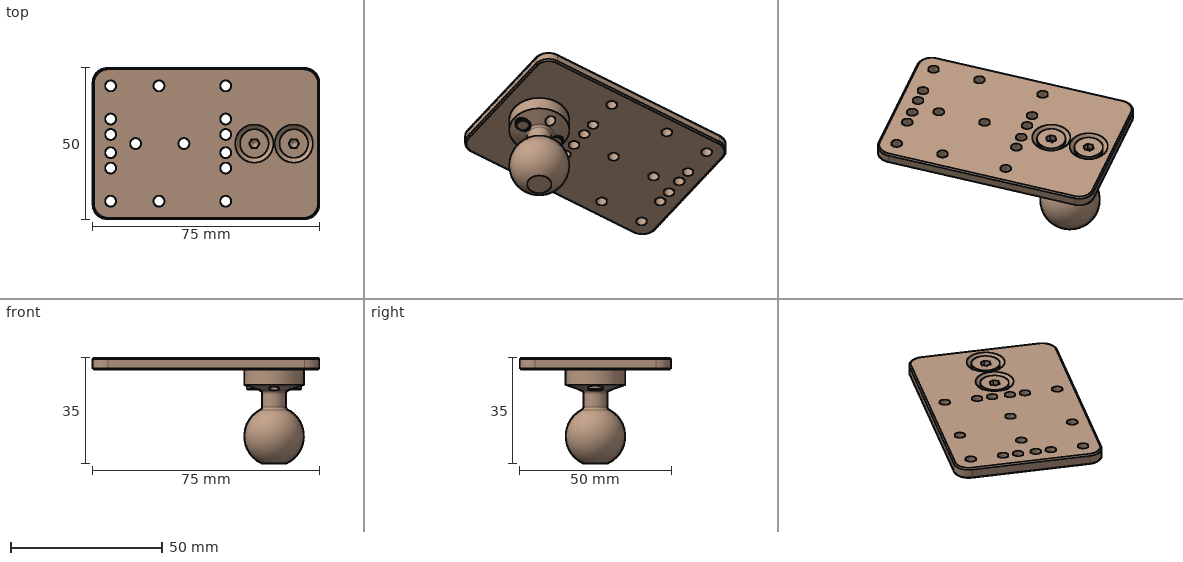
import cadquery as cq
import math

PLATE_LENGTH = 75.0
PLATE_WIDTH = 50.0
PLATE_THICKNESS = 4.0
CORNER_RADIUS = 5.0
EDGE_CHAMFER = 0.5

HOLE_DIAMETER = 3.5
LEFT_COLUMN_X = -31.5
MIDDLE_COLUMN_X = -15.5
RIGHT_COLUMN_X = 6.5
OUTER_ROW_Y = 19.05
WIDE_ROW_Y = 8.1
NARROW_ROW_Y = 3.0
CENTER_HOLES_X = (-23.25, -7.3)

MOUNT_X = 22.5
TOTAL_HEIGHT = 35.0
BASE_RADIUS = 19.8 / 2
BASE_HEIGHT = 5.0
CONE_HEIGHT = 1.95
CONE_END_RADIUS = 9.45 / 2
NECK_RADIUS = 8.0 / 2
BALL_RADIUS = 19.8 / 2
BALL_FLAT_RADIUS = NECK_RADIUS
BALL_FILLET = 1.0
BASE_HOLE_DIAMETER = 3.3

SCREW_OFFSET = 6.5
SCREW_XS = (MOUNT_X - SCREW_OFFSET, MOUNT_X + SCREW_OFFSET)
SINK_RADIUS = 12.6 / 2
HEAD_TOP_Z = -0.45
HEAD_RADIUS = 9.45 / 2
SHANK_RADIUS = 5.0 / 2
TIP_RADIUS = 4.2 / 2
SCREW_TIP_Z = -10.65
SOCKET_ACROSS_FLATS = 3.0
SOCKET_DEPTH = 2.25
SOCKET_CONE_HEIGHT = 0.9

HEAD_SEAT_Z = HEAD_RADIUS - SINK_RADIUS
HEAD_BOTTOM_Z = SHANK_RADIUS - SINK_RADIUS

BASE_TOP_Z = -PLATE_THICKNESS
BASE_BOTTOM_Z = BASE_TOP_Z - BASE_HEIGHT
CONE_END_Z = BASE_BOTTOM_Z - CONE_HEIGHT


def vertical_cylinder(x, y, radius, top_z, height):
    """Cylinder hanging down from top_z."""
    return cq.Workplane("XY", origin=(x, y, top_z)).circle(radius).extrude(-height)


def make_countersink(x):
    """Conical recess and straight bore for one screw."""
    bore = vertical_cylinder(x, 0, SHANK_RADIUS, 0, PLATE_THICKNESS)
    cone = (
        cq.Workplane("XZ", origin=(x, 0, 0))
        .polyline([(0, 0), (SINK_RADIUS, 0), (SHANK_RADIUS, HEAD_BOTTOM_Z), (0, HEAD_BOTTOM_Z)])
        .close()
        .revolve(360, (0, 0), (0, 1))
    )
    return bore.union(cone)


def make_plate():
    """Rounded plate with accessory holes and two countersinks."""
    outer_holes = [
        (x, side * OUTER_ROW_Y)
        for x in (LEFT_COLUMN_X, MIDDLE_COLUMN_X, RIGHT_COLUMN_X)
        for side in (-1, 1)
    ]
    inner_holes = [
        (x, side * y)
        for x in (LEFT_COLUMN_X, RIGHT_COLUMN_X)
        for y in (NARROW_ROW_Y, WIDE_ROW_Y)
        for side in (-1, 1)
    ]
    center_holes = [(x, 0) for x in CENTER_HOLES_X]
    body = (
        cq.Workplane("XY")
        .rect(PLATE_LENGTH, PLATE_WIDTH)
        .extrude(-PLATE_THICKNESS)
        .edges("|Z")
        .fillet(CORNER_RADIUS)
        .faces("<Z or >Z")
        .edges()
        .chamfer(EDGE_CHAMFER)
    )
    holes = (
        cq.Workplane("XY")
        .pushPoints(outer_holes + inner_holes + center_holes)
        .circle(HOLE_DIAMETER / 2)
        .extrude(-PLATE_THICKNESS)
    )
    body = body.cut(holes)
    for x in SCREW_XS:
        body = body.cut(make_countersink(x))
    return body


def make_ball_mount():
    """Round base, neck and flat-ended ball, with screw holes and two plain holes."""
    ball_z = -TOTAL_HEIGHT + math.sqrt(BALL_RADIUS**2 - BALL_FLAT_RADIUS**2)

    fillet_r = NECK_RADIUS + BALL_FILLET
    fillet_z = ball_z + math.sqrt((BALL_RADIUS + BALL_FILLET) ** 2 - fillet_r**2)
    tangent_share = BALL_RADIUS / (BALL_RADIUS + BALL_FILLET)
    tangent_r = fillet_r * tangent_share
    tangent_z = ball_z + (fillet_z - ball_z) * tangent_share
    mid_angle = (math.pi + math.atan2(ball_z - fillet_z, -fillet_r) % (2 * math.pi)) / 2
    fillet_mid = (
        fillet_r + BALL_FILLET * math.cos(mid_angle),
        fillet_z + BALL_FILLET * math.sin(mid_angle),
    )

    root_fillet = CONE_END_RADIUS - NECK_RADIUS
    root_mid = root_fillet * (1 - math.sqrt(0.5))

    body = (
        cq.Workplane("XZ", origin=(MOUNT_X, 0, 0))
        .moveTo(0, BASE_TOP_Z)
        .lineTo(BASE_RADIUS, BASE_TOP_Z)
        .lineTo(BASE_RADIUS, BASE_BOTTOM_Z)
        .lineTo(CONE_END_RADIUS, CONE_END_Z)
        .threePointArc(
            (NECK_RADIUS + root_mid, CONE_END_Z - root_mid),
            (NECK_RADIUS, CONE_END_Z - root_fillet),
        )
        .lineTo(NECK_RADIUS, fillet_z)
        .threePointArc(fillet_mid, (tangent_r, tangent_z))
        .threePointArc((BALL_RADIUS, ball_z), (BALL_FLAT_RADIUS, -TOTAL_HEIGHT))
        .lineTo(0, -TOTAL_HEIGHT)
        .close()
        .revolve(360, (0, 0), (0, 1))
    )
    hole_height = BASE_HEIGHT + CONE_HEIGHT
    for x in SCREW_XS:
        body = body.cut(vertical_cylinder(x, 0, SHANK_RADIUS, BASE_TOP_Z, hole_height))
    for y in (-SCREW_OFFSET, SCREW_OFFSET):
        body = body.cut(vertical_cylinder(MOUNT_X, y, BASE_HOLE_DIAMETER / 2, BASE_TOP_Z, hole_height))
    return body


def make_screw(x):
    """Countersunk screw with a hex socket and a chamfered tip."""
    tip_chamfer = SHANK_RADIUS - TIP_RADIUS
    outline = [
        (0, HEAD_TOP_Z),
        (HEAD_RADIUS, HEAD_TOP_Z),
        (HEAD_RADIUS, HEAD_SEAT_Z),
        (SHANK_RADIUS, HEAD_BOTTOM_Z),
        (SHANK_RADIUS, SCREW_TIP_Z + tip_chamfer),
        (TIP_RADIUS, SCREW_TIP_Z),
        (0, SCREW_TIP_Z),
    ]
    body = cq.Workplane("XZ", origin=(x, 0, 0)).polyline(outline).close().revolve(360, (0, 0), (0, 1))
    across_corners = SOCKET_ACROSS_FLATS / math.cos(math.pi / 6)
    socket = cq.Workplane("XY", origin=(x, 0, HEAD_TOP_Z)).polygon(6, across_corners).extrude(-SOCKET_DEPTH)
    socket_end = cq.Solid.makeCone(
        SOCKET_ACROSS_FLATS / 2,
        0,
        SOCKET_CONE_HEIGHT,
        pnt=cq.Vector(x, 0, HEAD_TOP_Z - SOCKET_DEPTH),
        dir=cq.Vector(0, 0, -1),
    )
    return body.cut(socket).cut(cq.Workplane(socket_end))


plate = make_plate()
ball_mount = make_ball_mount()
screws = [make_screw(x) for x in SCREW_XS]

result = cq.Compound.makeCompound([plate.val(), ball_mount.val(), *[screw.val() for screw in screws]])